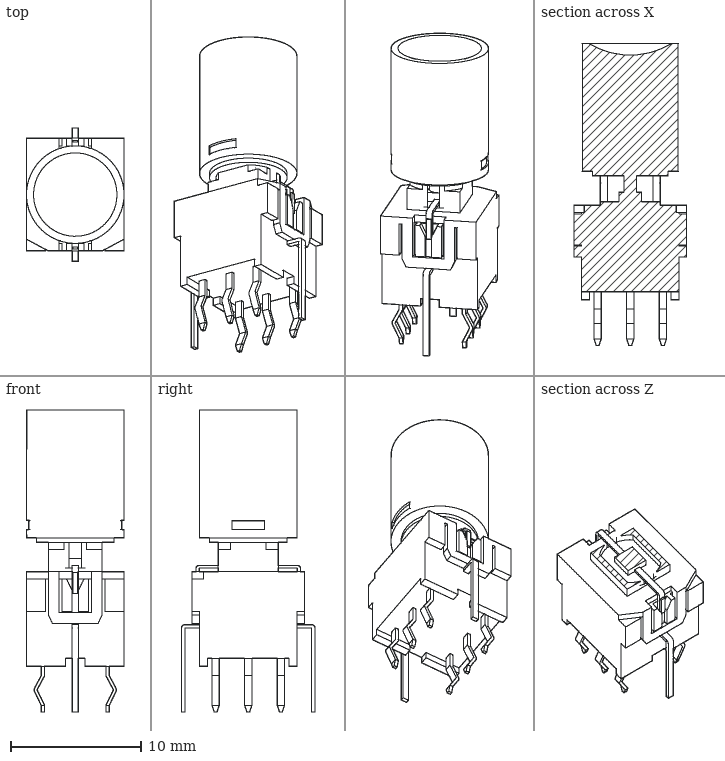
import cadquery as cq
import math


CAP_D = 7.5
CAP_BOTTOM = 13.39
CAP_TOP = 23.2
DISH_D = 6.4
DISH_DEPTH = 0.9
WINDOW_WIDTH = 2.48
WINDOW_BOTTOM = 14.01
WINDOW_TOP = 14.73
WINDOW_GAP = 0.07
WINDOW_GAP_DEPTH = 0.46
TAB_INSET = 0.15
FLANGE_D = 5.96
FLANGE_BOTTOM = 13.05

STEM_X = 4.13
STEM_Y = 4.65
STEM_ROUND_D = 4.95
STEM_ROUND_BOTTOM = 12.48
STEM_WALL = 0.46
STEM_FLOOR = 11.07
STEM_SLOT_WIDTH = 0.93

LAMP_D = 1.58
LAMP_BASE = 1.75
LAMP_BASE_TOP = 11.79

BODY_X = CAP_D
BODY_Y = 7.5
BODY_BOTTOM = 3.53
BODY_TOP = 10.79
FOOT_HEIGHT = 0.6
FOOT_GAP_X = 1.45
FOOT_GAP_Y = 6.25

OVERHANG = 0.58
SHOULDER_BOTTOM = 7.73
PLATE_BOTTOM = 10.23
SHOULDER_INNER_X = 2.27
PLATE_CORNER_Y = 0.9

FRAME_WIDTH = STEM_X
FRAME_BOTTOM = 6.8
FRAME_CHAMFER_X = 0.32
FRAME_CHAMFER_Z = 0.67
POCKET_WIDTH = 2.45
POCKET_BOTTOM = 7.65
POCKET_STEP = 0.2
GUIDE_WIDTH = 2.05
VEE_WIDTH = 1.35
VEE_BOTTOM = 9.35

STRIP_WIDTH = 0.49
LEAD_TOP = 11.28
LEAD_THICKNESS = LEAD_TOP - STEM_FLOOR
LEAD_LEG_THICKNESS = 0.28
RIB_WIDTH = 0.37
RIB_HEIGHT = 0.15
RIB_BOTTOM = 9.1
RIB_TOP = 10.72
GROUND_PIN_Y = 10.25
GROUND_PIN_TOP = 6.73
GROUND_PIN_THICKNESS = 0.28
BEND_RADIUS = 0.25

SNAP_PIN_X = 2.48
SNAP_PIN_PITCH = 2.5
SNAP_PIN_THICKNESS = 0.28
SNAP_PIN_WIDTH = 0.58
SNAP_PIN_TIP_WIDTH = 0.2
KINK_TOP = 2.8
KINK_MIDDLE = 1.72
KINK_BOTTOM = 0.53
KINK_OFFSET = 0.58
KINK_RADIUS = 0.32


def block(size_x, size_y, bottom, top, center_y=0.0):
    """Box centred on x = 0 between two heights."""
    base = cq.Workplane("XY", origin=(0, center_y, bottom))
    return base.rect(size_x, size_y).extrude(top - bottom)


def cylinder(diameter, bottom, top):
    base = cq.Workplane("XY", origin=(0, 0, bottom))
    return base.circle(diameter / 2).extrude(top - bottom)


def wall_windows(depth, bottom, top):
    """Cutter for recesses that follow the round cap wall on both X sides."""
    ring = cylinder(CAP_D, bottom, top).cut(cylinder(CAP_D - 2 * depth, bottom, top))
    return ring.intersect(block(CAP_D, WINDOW_WIDTH, bottom, top))


def make_cap():
    cap = cylinder(CAP_D, CAP_BOTTOM, CAP_TOP)

    dish_radius = ((DISH_D / 2) ** 2 + DISH_DEPTH ** 2) / (2 * DISH_DEPTH)
    dish_center = CAP_TOP - DISH_DEPTH + dish_radius
    cap = cap.cut(cq.Workplane("XY", origin=(0, 0, dish_center)).sphere(dish_radius))

    tab_top = WINDOW_TOP - WINDOW_GAP
    cap = cap.cut(wall_windows(TAB_INSET, WINDOW_BOTTOM, tab_top))
    cap = cap.cut(wall_windows(WINDOW_GAP_DEPTH, tab_top, WINDOW_TOP))

    return cap.union(cylinder(FLANGE_D, FLANGE_BOTTOM, CAP_BOTTOM))


def make_stem():
    stem = block(STEM_X, STEM_Y, BODY_TOP, STEM_ROUND_BOTTOM)
    rounded = block(STEM_X, STEM_Y, STEM_ROUND_BOTTOM, FLANGE_BOTTOM)
    rounded = rounded.intersect(cylinder(STEM_ROUND_D, STEM_ROUND_BOTTOM, FLANGE_BOTTOM))

    bore_d = math.hypot(STEM_Y, STEM_SLOT_WIDTH)
    cavity = block(STEM_X - 2 * STEM_WALL, bore_d, STEM_FLOOR, FLANGE_BOTTOM)
    cavity = cavity.intersect(cylinder(bore_d, STEM_FLOOR, FLANGE_BOTTOM))
    stem = stem.union(rounded).cut(cavity)

    lamp_base = block(LAMP_BASE, LAMP_BASE, STEM_FLOOR, LAMP_BASE_TOP)
    lamp = cylinder(LAMP_D, LAMP_BASE_TOP, FLANGE_BOTTOM)
    return stem.union(lamp_base).union(lamp)


def make_core():
    """Main block of the housing, standing on four corner feet."""
    core = block(BODY_X, BODY_Y, BODY_BOTTOM, BODY_TOP)
    foot_top = BODY_BOTTOM + FOOT_HEIGHT
    core = core.cut(block(FOOT_GAP_X, BODY_Y, BODY_BOTTOM, foot_top))
    return core.cut(block(BODY_X, FOOT_GAP_Y, BODY_BOTTOM, foot_top))


def overhang_block(width, bottom, top):
    """Box that spans the depth of the overhang on the -Y side."""
    return block(width, OVERHANG, bottom, top, -(BODY_Y + OVERHANG) / 2)


def make_overhang():
    """Plate, shoulders, frame and guide blocks on the -Y side."""
    plate = overhang_block(BODY_X, PLATE_BOTTOM, BODY_TOP)
    shoulders = overhang_block(BODY_X, SHOULDER_BOTTOM, PLATE_BOTTOM)
    shoulders = shoulders.cut(overhang_block(2 * SHOULDER_INNER_X, SHOULDER_BOTTOM, PLATE_BOTTOM))

    half = FRAME_WIDTH / 2
    chamfer_top = FRAME_BOTTOM + FRAME_CHAMFER_Z
    frame = (
        cq.Workplane("XZ", origin=(0, -BODY_Y / 2, 0))
        .moveTo(-half, BODY_TOP)
        .lineTo(-half, chamfer_top)
        .lineTo(-half + FRAME_CHAMFER_X, FRAME_BOTTOM)
        .lineTo(half - FRAME_CHAMFER_X, FRAME_BOTTOM)
        .lineTo(half, chamfer_top)
        .lineTo(half, BODY_TOP)
        .close()
        .extrude(OVERHANG)
    )
    pocket = overhang_block(POCKET_WIDTH, POCKET_BOTTOM, BODY_TOP)

    guides = overhang_block(GUIDE_WIDTH, SHOULDER_BOTTOM, PLATE_BOTTOM)
    guides = guides.cut(overhang_block(STRIP_WIDTH, SHOULDER_BOTTOM, PLATE_BOTTOM))
    vee = (
        cq.Workplane("XZ", origin=(0, -BODY_Y / 2, 0))
        .moveTo(-STRIP_WIDTH / 2, VEE_BOTTOM)
        .lineTo(STRIP_WIDTH / 2, VEE_BOTTOM)
        .lineTo(VEE_WIDTH / 2, PLATE_BOTTOM)
        .lineTo(-VEE_WIDTH / 2, PLATE_BOTTOM)
        .close()
        .extrude(OVERHANG)
    )
    return plate.union(shoulders).union(frame).cut(pocket).union(guides.cut(vee))


def make_plate_corners():
    """Corner wedges taken off the top plate on the -Y side."""
    front = -BODY_Y / 2 - OVERHANG
    wedge = (
        cq.Workplane("XY", origin=(0, 0, PLATE_BOTTOM))
        .moveTo(BODY_X / 2, front)
        .lineTo(BODY_X / 2, front + PLATE_CORNER_Y)
        .lineTo(FRAME_WIDTH / 2, front)
        .close()
        .extrude(BODY_TOP - PLATE_BOTTOM)
    )
    return wedge.union(wedge.mirror("YZ"))


def make_housing():
    overhang = make_overhang()
    pocket_step = block(POCKET_WIDTH, POCKET_STEP, PLATE_BOTTOM, BODY_TOP, -(BODY_Y - POCKET_STEP) / 2)
    housing = make_core()
    housing = housing.union(overhang).union(overhang.mirror("XZ"))
    housing = housing.cut(pocket_step).cut(pocket_step.mirror("XZ"))
    return housing.cut(make_plate_corners())


def bent_strip(inner_y, outer_y, top, arm_thickness, leg_thickness, bottom):
    """Strip running outward along -Y and then bent down into a vertical leg."""
    arm_bottom = top - arm_thickness
    return (
        cq.Workplane("YZ", origin=(-STRIP_WIDTH / 2, 0, 0))
        .moveTo(-inner_y, top)
        .lineTo(-outer_y + BEND_RADIUS, top)
        .radiusArc((-outer_y, top - BEND_RADIUS), -BEND_RADIUS)
        .lineTo(-outer_y, bottom)
        .lineTo(-outer_y + leg_thickness, bottom)
        .lineTo(-outer_y + leg_thickness, arm_bottom)
        .lineTo(-inner_y, arm_bottom)
        .close()
        .extrude(STRIP_WIDTH)
    )


def make_lamp_lead():
    """Lead from the lamp base down to the pocket floor, with a rib on its leg."""
    leg = LEAD_LEG_THICKNESS
    outer_y = BODY_Y / 2 + leg
    lead = bent_strip(LAMP_BASE / 2, outer_y, LEAD_TOP, LEAD_THICKNESS, leg, POCKET_BOTTOM)
    rib = block(RIB_WIDTH, RIB_HEIGHT, RIB_BOTTOM, RIB_TOP, -outer_y - RIB_HEIGHT / 2)
    return lead.union(rib)


def make_ground_pin():
    thickness = GROUND_PIN_THICKNESS
    return bent_strip(BODY_Y / 2, GROUND_PIN_Y / 2, GROUND_PIN_TOP, thickness, thickness, 0)


def make_snap_pin():
    """Kinked pin on the +X side, at y = 0, with a tapered tip."""
    pin_top = BODY_BOTTOM + FOOT_HEIGHT
    inner_x = SNAP_PIN_X - SNAP_PIN_THICKNESS / 2
    outer_x = inner_x + SNAP_PIN_THICKNESS
    half = SNAP_PIN_WIDTH / 2
    half_tip = SNAP_PIN_TIP_WIDTH / 2

    kinked = (
        cq.Workplane("XZ", origin=(0, half, 0))
        .moveTo(inner_x, pin_top)
        .lineTo(inner_x, KINK_TOP)
        .lineTo(inner_x + KINK_OFFSET, KINK_MIDDLE)
        .lineTo(inner_x, KINK_BOTTOM)
        .lineTo(inner_x, 0)
        .lineTo(outer_x, 0)
        .lineTo(outer_x, KINK_BOTTOM)
        .lineTo(outer_x + KINK_OFFSET, KINK_MIDDLE)
        .lineTo(outer_x, KINK_TOP)
        .lineTo(outer_x, pin_top)
        .close()
        .extrude(SNAP_PIN_WIDTH)
    )
    kinked = kinked.edges("|Y").edges(">X").fillet(KINK_RADIUS)

    outline = (
        cq.Workplane("YZ")
        .moveTo(-half, pin_top)
        .lineTo(-half, KINK_BOTTOM)
        .lineTo(-half_tip, 0)
        .lineTo(half_tip, 0)
        .lineTo(half, KINK_BOTTOM)
        .lineTo(half, pin_top)
        .close()
        .extrude(BODY_X / 2)
    )
    return kinked.intersect(outline)


result = make_housing().union(make_stem()).union(make_cap())

for end_part in (make_lamp_lead(), make_ground_pin()):
    result = result.union(end_part).union(end_part.mirror("XZ"))

snap_pin = make_snap_pin()
for row in (-1, 0, 1):
    placed_pin = snap_pin.translate((0, row * SNAP_PIN_PITCH, 0))
    result = result.union(placed_pin).union(placed_pin.mirror("YZ"))